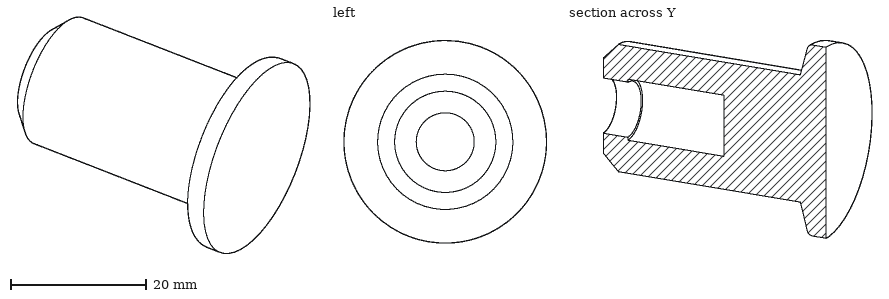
import cadquery as cq
import math

total_length = 37.0
shank_diameter = 20.0
head_diameter = 30.0
tip_chamfer = 2.5
head_height = 4.33
cone_angle = 15.0
rim_fillet = 1.0
bore_diameter = 8.6
bore_depth = 4.1
recess_diameter = 9.5
recess_depth = 15.9

shank_radius = shank_diameter / 2
head_radius = head_diameter / 2
tip_x = -total_length / 2
end_x = total_length / 2
cone_start_x = end_x - head_height
cone_length = (head_radius - shank_radius) * math.tan(math.radians(cone_angle))
rim_x = cone_start_x + cone_length
recess_x = tip_x + bore_depth


def make_body():
    """Chamfered shank and conical-backed head, revolved about the X axis."""
    profile = (
        cq.Workplane("XZ")
        .moveTo(tip_x, 0)
        .lineTo(tip_x, shank_radius - tip_chamfer)
        .lineTo(tip_x + tip_chamfer, shank_radius)
        .lineTo(cone_start_x, shank_radius)
        .lineTo(rim_x, head_radius)
        .lineTo(end_x, head_radius)
        .lineTo(end_x, 0)
        .close()
    )
    return profile.revolve(360, (0, 0, 0), (1, 0, 0))


def round_rim(body):
    """Round the edge where the conical back meets the cylindrical rim."""
    rim_edge = cq.selectors.BoxSelector(
        (rim_x - rim_fillet / 2, -head_diameter, -head_diameter),
        (rim_x + rim_fillet / 2, head_diameter, head_diameter),
    )
    return body.edges("%CIRCLE").edges(rim_edge).fillet(rim_fillet)


def make_hole(start_x, diameter, depth):
    """Flat-ended cylinder on the pin axis, running toward the head."""
    return cq.Workplane("YZ", origin=(start_x, 0, 0)).circle(diameter / 2).extrude(depth)


bore = make_hole(tip_x, bore_diameter, bore_depth)
recess = make_hole(recess_x, recess_diameter, recess_depth)

result = round_rim(make_body()).cut(bore).cut(recess)